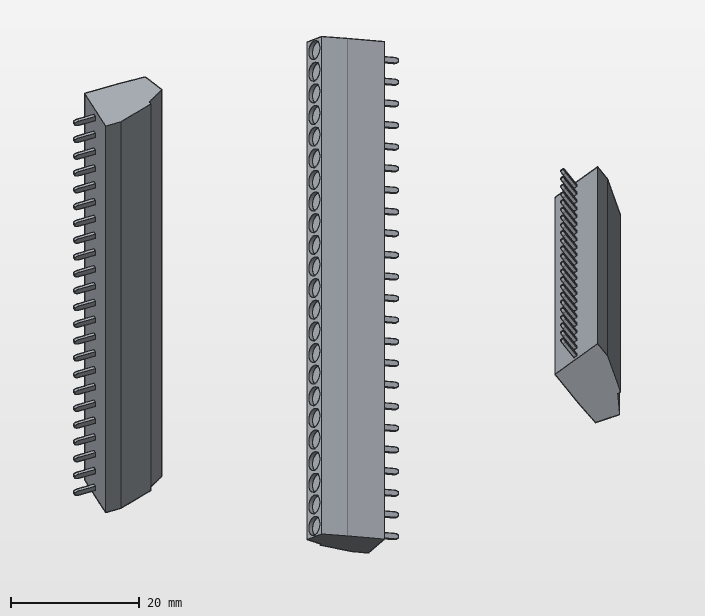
import cadquery as cq

length = 80.5
poles = 23
pitch = length / poles

width = 8.4
total_depth = 14.9
body_depth = 11.4
back_edge_inset = 0.2
back_bend_y = 6.0
back_top_y = 10.2
apex_x = 3.95
step_y = 8.5
step_inner_x = 5.8
step_outer_x = 6.35
front_bend_y = 2.6

recess_diameter = 3.0
recess_depth = 0.7

pin_x = 4.0
pin_thickness = 0.6
pin_height = 0.9
pin_length = total_depth - body_depth
tip_length = 0.65
tip_height = 0.4


def make_housing():
    """Extrude the housing profile over the full length."""
    outline = [
        (0, 0),
        (width, 0),
        (width, front_bend_y),
        (step_outer_x, step_y),
        (step_inner_x, step_y),
        (apex_x, body_depth),
        (back_edge_inset, back_top_y),
        (0, back_bend_y),
    ]
    return cq.Workplane("XY").polyline(outline).close().extrude(length)


def make_recess(z):
    """Cylinder sunk square into the sloped face at height z."""
    center = cq.Vector((back_edge_inset + apex_x) / 2, (back_top_y + body_depth) / 2, z)
    inward = cq.Vector(body_depth - back_top_y, back_edge_inset - apex_x, 0)
    return cq.Solid.makeCylinder(recess_diameter / 2, recess_depth, center, inward)


def make_pin(z):
    """Flat pin pointing to -Y, its tip narrowed by an arc above and below."""
    shoulder_y = tip_length - pin_length
    flank = pin_height / 2
    end = tip_height / 2
    half_outline = (
        cq.Workplane("YZ", origin=(pin_x - pin_thickness / 2, 0, z))
        .lineTo(0, flank)
        .lineTo(shoulder_y, flank)
        .tangentArcPoint((-pin_length, end), relative=False)
        .lineTo(-pin_length, 0)
        .close()
    )
    upper_half = half_outline.extrude(pin_thickness)
    lower_half = upper_half.mirror("XY", (0, 0, z))
    return upper_half.union(lower_half)


result = make_housing()
for pole in range(poles):
    pole_z = (pole + 0.5) * pitch
    result = result.cut(make_recess(pole_z))
    result = result.union(make_pin(pole_z))